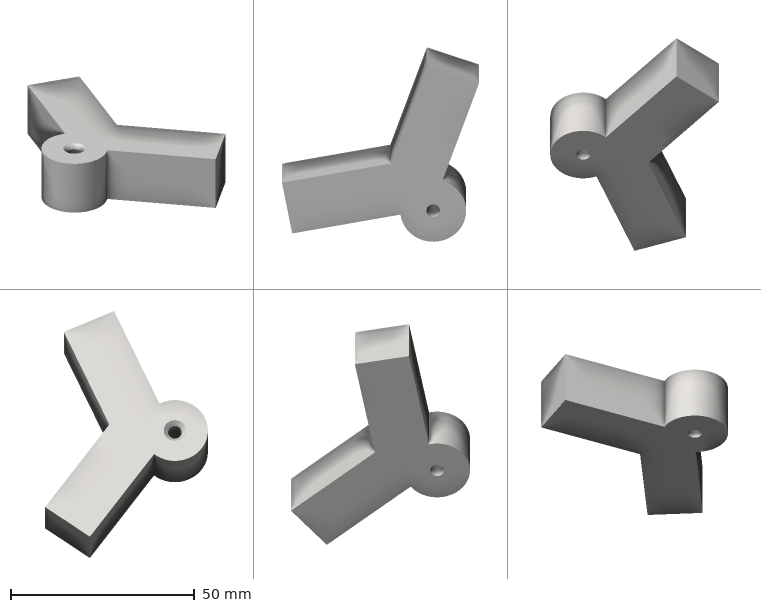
import cadquery as cq
import math

overall_length = 58.0
arm_width = 15.0
thickness = 15.0
arm_angle = 60.0
boss_radius = 9.0
hole_diameter = 3.7
countersink_diameter = 6.1
countersink_angle = 90.0

cos_arm = math.cos(math.radians(arm_angle))
sin_arm = math.sin(math.radians(arm_angle))
arm_length = (overall_length - arm_width * sin_arm) / (1 + cos_arm)

across = (arm_width * sin_arm, -arm_width * cos_arm)
slanted_tip = (arm_length * cos_arm, arm_length * sin_arm)

boss_center = (boss_radius, -boss_radius * math.tan(math.radians(arm_angle)))

arms = (
    cq.Workplane("XY")
    .polyline([
        (0, 0),
        (-arm_length, 0),
        (-arm_length, -arm_width),
        (0, -arm_width),
        boss_center,
        across,
        (slanted_tip[0] + across[0], slanted_tip[1] + across[1]),
        slanted_tip,
    ])
    .close()
    .extrude(thickness)
)

boss = cq.Workplane("XY").center(*boss_center).circle(boss_radius).extrude(thickness)

result = (
    arms.union(boss)
    .faces(">Z")
    .workplane(origin=(*boss_center, thickness))
    .cskHole(hole_diameter, countersink_diameter, countersink_angle)
)